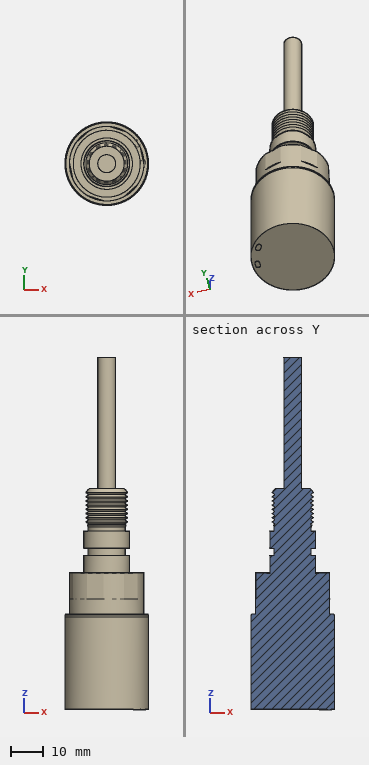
import cadquery as cq
import math

BODY_TOP = 29.0
NUT_TOP = 41.5
LOWER_COLLAR_TOP = 46.75
UPPER_COLLAR_BOTTOM = 48.75
UPPER_COLLAR_TOP = 54.1
THREAD_TOP = 67.0
CABLE_TOP = 106.78

BODY_DIAMETER = 25.4
BODY_BAND_DIAMETER = 25.35
BODY_BAND_HEIGHT = 1.0
BODY_CHAMFER = 0.3

NUT_DIAMETER = 22.61
FLAT_COUNT = 6
FLAT_WIDTH = 5.4
FLAT_HEIGHT = 8.0
FIRST_FLAT_ANGLE = 12.0
NUT_BORE_DIAMETER = 20.3
NUT_RECESS_DEPTH = 0.1
COLLAR_GAP_DIAMETER = 15.6
COLLAR_GAP_DEPTH = 0.25

COLLAR_DIAMETER = 13.97
COLLAR_CHAMFER = 0.15
NECK_DIAMETER = 11.38

THREAD_MAJOR_DIAMETER = 12.7
THREAD_MINOR_DIAMETER = 11.02
THREAD_PITCH = 1.27
THREAD_TOP_DIAMETER = 10.6
FULL_RIDGES = 8
TOP_RIDGE_Z = 65.75
END_RIDGE_DIAMETER = 11.8
END_RIDGE_SPACING = 1.0

CABLE_DIAMETER = 5.46

MARK_LENGTH = 2.4
MARK_WIDTH = 1.5
MARK_HEIGHT = 0.2
MARK_CENTER_RADIUS = 11.0
MARK_ANGLES = (0.0, 34.0)


def cylinder(diameter, bottom, top):
    return cq.Workplane("XY").workplane(offset=bottom).circle(diameter / 2).extrude(top - bottom)


def make_body():
    band_bottom = BODY_TOP - BODY_BAND_HEIGHT
    band = cylinder(BODY_BAND_DIAMETER, band_bottom, BODY_TOP)
    band = band.faces(">Z").edges().chamfer(BODY_CHAMFER)
    return cylinder(BODY_DIAMETER, 0, band_bottom).union(band)


def make_nut():
    nut = cylinder(NUT_DIAMETER, BODY_TOP, NUT_TOP)
    nut = nut.cut(cylinder(NUT_BORE_DIAMETER, NUT_TOP - NUT_RECESS_DEPTH, NUT_TOP))
    nut = nut.cut(cylinder(COLLAR_GAP_DIAMETER, NUT_TOP - COLLAR_GAP_DEPTH, NUT_TOP))
    nut_radius = NUT_DIAMETER / 2
    flat_distance = math.sqrt(nut_radius**2 - (FLAT_WIDTH / 2) ** 2)
    cutter = cq.Workplane("XY").box(
        nut_radius, NUT_DIAMETER, FLAT_HEIGHT, centered=(False, True, False)
    ).translate((flat_distance, 0, NUT_TOP - FLAT_HEIGHT))
    for index in range(FLAT_COUNT):
        angle = FIRST_FLAT_ANGLE + index * 360 / FLAT_COUNT
        nut = nut.cut(cutter.rotate((0, 0, 0), (0, 0, 1), angle))
    return nut


def make_collar():
    lower = cylinder(COLLAR_DIAMETER, BODY_TOP, LOWER_COLLAR_TOP)
    lower = lower.faces(">Z").edges().chamfer(COLLAR_CHAMFER)
    upper = cylinder(COLLAR_DIAMETER, UPPER_COLLAR_BOTTOM, UPPER_COLLAR_TOP)
    upper = upper.faces("<Z").edges().chamfer(COLLAR_CHAMFER)
    neck = cylinder(NECK_DIAMETER, BODY_TOP, UPPER_COLLAR_TOP)
    return neck.union(lower).union(upper)


def make_thread():
    root = THREAD_MINOR_DIAMETER / 2
    crest = THREAD_MAJOR_DIAMETER / 2
    end_crest = END_RIDGE_DIAMETER / 2
    last_ridge_z = TOP_RIDGE_Z - (FULL_RIDGES - 1) * THREAD_PITCH
    runout_z = last_ridge_z - END_RIDGE_SPACING
    neck = NECK_DIAMETER / 2

    profile = [(0, THREAD_TOP), (THREAD_TOP_DIAMETER / 2, THREAD_TOP)]
    profile.append((end_crest, TOP_RIDGE_Z + THREAD_PITCH / 2))
    for index in range(FULL_RIDGES):
        ridge_z = TOP_RIDGE_Z - index * THREAD_PITCH
        profile.append((crest, ridge_z))
        profile.append((root, ridge_z - THREAD_PITCH / 2))
    profile.append((end_crest, runout_z))
    profile.append((neck, runout_z - END_RIDGE_SPACING / 2))
    profile.append((neck, UPPER_COLLAR_TOP))
    profile.append((0, UPPER_COLLAR_TOP))
    return cq.Workplane("XZ").polyline(profile).close().revolve(360, (0, 0), (0, 1))


def make_index_marks():
    marks = cq.Workplane("XY")
    for angle in MARK_ANGLES:
        mark = cq.Workplane("XY").slot2D(MARK_LENGTH, MARK_WIDTH, 90).extrude(-MARK_HEIGHT)
        mark = mark.translate((MARK_CENTER_RADIUS, 0, 0))
        marks = marks.union(mark.rotate((0, 0, 0), (0, 0, 1), angle))
    return marks


cable = cylinder(CABLE_DIAMETER, THREAD_TOP, CABLE_TOP)

result = make_body().union(make_nut()).union(make_collar())
result = result.union(make_thread()).union(cable).union(make_index_marks())